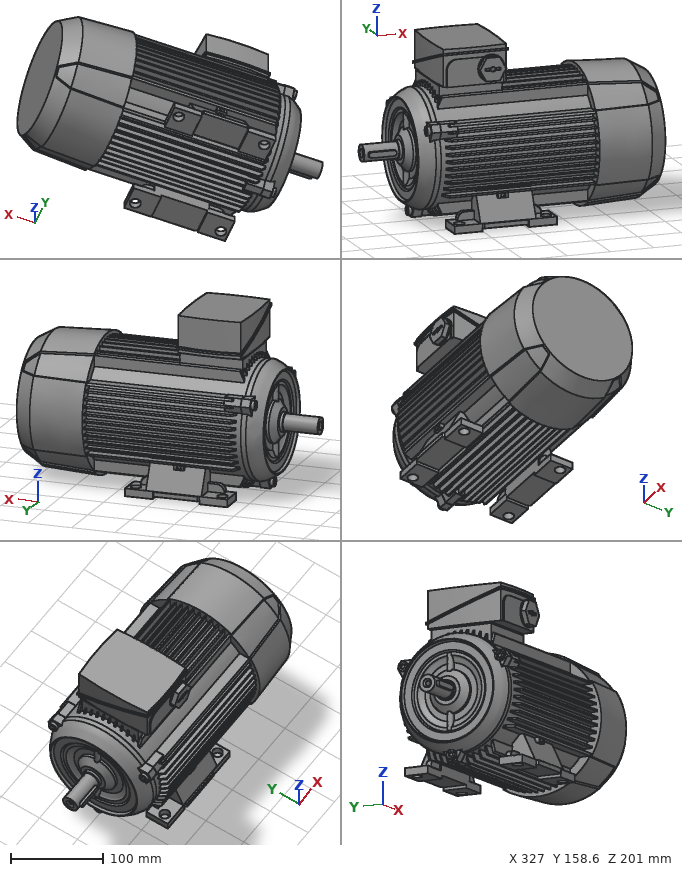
import cadquery as cq
import math

COLLAR_X = 40.0
SHIELD_X = 44.8
LUG_X = 56.5
HOUSING_X = 67.5
FIN_X = 73.2
HOOD_X = 246.0
END_X = 327.0

SHAFT_R = 9.5
COLLAR_R = 11.0
KEY_START = 4.3
KEY_LENGTH = 32.0
KEY_WIDTH = 6.2
KEY_TOP = 12.5
CENTRE_HOLE_R = 3.0
CENTRE_HOLE_DEPTH = 13.0
CENTRE_SINK_R = 5.0
CENTRE_SINK_DEPTH = 2.0

BODY_R = 67.0
HUB_FRONT_X = 43.5
SHIELD_RIM_R = 57.5
SHIELD_SHOULDER_X = 61.5
SHIELD_CROWN = (52.5, 63.0)
SHIELD_FLOOR_X = 54.0
SHIELD_RIB_WIDTH = 6.5
SHIELD_RIB_INNER_R = 22.2
SHIELD_RIB_OUTER_R = 43.2
SHIELD_RIB_X = 48.7
SHIELD_RIB_FILLET = 3.0

BOLT_CIRCLE_R = 69.0
BOLT_ANGLES = (30, 150, 270)
SHIELD_LUG_TIP_R = 76.0
HOUSING_LUG_TIP_R = 75.2
LUG_TIP_HALF_WIDTH = 4.5
LUG_HALF_ANGLE = 30
HOUSING_LUG_LENGTH = 19.5
SCREW_HEAD_R = 5.2
SCREW_HEAD_HEIGHT = 4.0
SCREW_SOCKET_SIZE = 5.2
SCREW_SOCKET_DEPTH = 2.5

FIN_R = 75.0
FIN_PITCH = 7.98
FIN_THICKNESS = 2.0
FINS_EACH_SIDE = 4
FIN_BEVEL_X = 77.8
FIN_START_R = 69.3
EDGE_FIN_OUTER = 41.2
EDGE_FIN_R = 77.2
EDGE_FIN_THICKNESS = 2.5

PEDESTAL_X = 76.2
PEDESTAL_LENGTH = 72.5
PEDESTAL_WIDTH = 74.0
PEDESTAL_TOP = 77.2
NECK_INSET = 1.0

HOOD_R = 79.3
HOOD_SHOULDER_X = 307.7
HOOD_SHOULDER_R = 76.2
HOOD_END_R = 65.0
HOOD_RECESS_DEPTH = 2.0
HOOD_RECESS_END_X = 325.0
HOOD_RECESS_EDGE = 42.0

BOX_X = 112.8
BOX_Y = -3.5
BOX_LENGTH = 72.5
BOX_WIDTH = 90.3
BOX_BULGE = 2.0
BOX_BOTTOM = 78.8
BOX_TOP = 121.0
LIP_OVERHANG = 1.5
LIP_THICKNESS = 2.0
LIP_SLOPE = math.degrees(math.atan2(9.7, 29.2))
LIP_Z = 100.0
BOX_PAD_LENGTH = 65.7
BOX_PAD_HEIGHT = 30.5
BOX_PAD_CORNER_R = 11.8
BOX_PAD_FACE_Y = -51.0

PLUG_X = 130.8
PLUG_Z = 96.0
PLUG_FLANGE_R = 15.0
PLUG_FLANGE_FACE_Y = -52.0
PLUG_HEX_SIZE = 26.5
PLUG_FACE_Y = -58.0
PLUG_SLOT_LENGTH = 17.5
PLUG_SLOT_WIDTH = 2.5
PLUG_SLOT_DEPTH = 2.0
PLUG_DIMPLE_R = 2.5

FOOT_X = 140.0
FOOT_BOTTOM = -80.0
FOOT_TOP = -71.3
BRIDGE_BOTTOM = -76.5
FOOT_LENGTH = 118.0
FOOT_INNER_Y = 44.0
PAD_OUTER_Y = 72.5
BRIDGE_OUTER_Y = 74.5
BRIDGE_LENGTH = 54.0
FOOT_HOLE_R = 6.0
FOOT_HOLE_SPACING = 100.0
FOOT_HOLE_Y = 62.5
WEB_X = 143.0
WEB_LENGTH = 64.0
WEB_TOP = -EDGE_FIN_OUTER
WEB_TOP_Y = 58.0
WEB_BASE_Y = 72.3
RIB_INNER_Y = 46.0
RIB_THICKNESS = 6.2
RIB_LENGTH = 96.5
RIB_HEIGHT = 9.5
RIB_CORNER_R = 8.5
EARTH_LUG_WIDTH = 11.0
EARTH_LUG_HEIGHT = 5.5
EARTH_LUG_Y = 64.5
EARTH_HOLE_R = 2.5
EARTH_HOLE_DEPTH = 3.3
FOOT_PAD_TOP = -37.3
FOOT_PAD_Y = 56.5


def block(x_range, y_range, z_range):
    """Axis-parallel block between two limits on each axis."""
    sizes = [high - low for low, high in (x_range, y_range, z_range)]
    corner = (x_range[0], y_range[0], z_range[0])
    return cq.Workplane("XY").box(*sizes, centered=False).translate(corner)


def turned(profile):
    """Solid of revolution about X from (x, radius) points."""
    return cq.Workplane("XY").polyline(profile).close().revolve(360, (0, 0), (1, 0))


def cylinder_x(x_start, x_end, radius):
    return cq.Workplane("YZ", origin=(x_start, 0, 0)).circle(radius).extrude(x_end - x_start)


def make_shaft():
    shaft = cylinder_x(0, COLLAR_X, SHAFT_R)
    shaft = shaft.union(cylinder_x(COLLAR_X, HOUSING_X, COLLAR_R))
    key = (
        cq.Workplane("XZ")
        .center(KEY_START + KEY_LENGTH / 2, 0)
        .slot2D(KEY_LENGTH, KEY_WIDTH)
        .extrude(KEY_TOP)
    )
    hole = cylinder_x(0, CENTRE_HOLE_DEPTH, CENTRE_HOLE_R)
    sink = turned([(0, 0), (0, CENTRE_SINK_R), (CENTRE_SINK_DEPTH, CENTRE_HOLE_R), (CENTRE_SINK_DEPTH, 0)])
    return shaft.union(key).cut(hole).cut(sink)


def lug(angle, tip_r, x_start, x_end):
    """Wedge with a flat tip around a screw, widening inwards into the round body."""
    slope = math.tan(math.radians(LUG_HALF_ANGLE))
    root_r = BODY_R * math.cos(math.radians(LUG_HALF_ANGLE))
    root_half_width = LUG_TIP_HALF_WIDTH + (tip_r - root_r) * slope
    outline = (
        cq.Workplane("YZ", origin=(x_start, 0, 0))
        .polyline([
            (root_r, -root_half_width),
            (tip_r, -LUG_TIP_HALF_WIDTH),
            (tip_r, LUG_TIP_HALF_WIDTH),
            (root_r, root_half_width),
        ])
        .close()
    )
    return outline.extrude(x_end - x_start).rotate((0, 0, 0), (1, 0, 0), angle)


def screw_head(angle):
    head_x = LUG_X - SCREW_HEAD_HEIGHT
    head = cq.Workplane("YZ", origin=(head_x, BOLT_CIRCLE_R, 0)).circle(SCREW_HEAD_R).extrude(SCREW_HEAD_HEIGHT)
    socket_diameter = SCREW_SOCKET_SIZE / math.cos(math.radians(30))
    socket = (
        cq.Workplane("YZ", origin=(head_x, BOLT_CIRCLE_R, 0))
        .polygon(6, socket_diameter)
        .extrude(SCREW_SOCKET_DEPTH)
    )
    return head.cut(socket).rotate((0, 0, 0), (1, 0, 0), angle)


def make_shield():
    recessed_face = [
        (HUB_FRONT_X, COLLAR_R),
        (HUB_FRONT_X, 16.0),
        (50.7, 24.5),
        (SHIELD_FLOOR_X, 24.5),
        (SHIELD_FLOOR_X, 32.5),
        (51.5, 38.0),
        (49.7, 40.0),
        (49.7, 43.8),
        (48.0, 45.8),
        (48.0, 55.0),
        (SHIELD_X, 56.5),
        (SHIELD_X, SHIELD_RIM_R),
    ]
    shield = (
        cq.Workplane("XY")
        .moveTo(HOUSING_X, COLLAR_R)
        .polyline(recessed_face, includeCurrent=True)
        .threePointArc(SHIELD_CROWN, (SHIELD_SHOULDER_X, BODY_R))
        .lineTo(HOUSING_X, BODY_R)
        .close()
        .revolve(360, (0, 0), (1, 0))
    )
    half_width = SHIELD_RIB_WIDTH / 2
    for side in (1, -1):
        ends = sorted((side * SHIELD_RIB_INNER_R, side * SHIELD_RIB_OUTER_R))
        rib = block((SHIELD_RIB_X, SHIELD_FLOOR_X), (-half_width, half_width), ends)
        rib = rib.edges("|Z and <X").fillet(SHIELD_RIB_FILLET)
        shield = shield.union(rib)
    hollow = cylinder_x(0, HOUSING_X, SHIELD_RIM_R)
    for angle in BOLT_ANGLES:
        shield = shield.union(lug(angle, SHIELD_LUG_TIP_R, LUG_X, HOUSING_X).cut(hollow))
        shield = shield.union(screw_head(angle))
    return shield


def fin_group(limits, tip_r):
    """Bars through the body in both directions, trimmed to a round envelope with a bevelled front."""
    length = (FIN_X, HOOD_X)
    across = (-tip_r, tip_r)
    bars = cylinder_x(FIN_X, HOOD_X, BODY_R)
    for limit in limits:
        bars = bars.union(block(length, limit, across)).union(block(length, across, limit))
    envelope = turned([
        (FIN_X, 0),
        (FIN_X, FIN_START_R),
        (FIN_BEVEL_X, tip_r),
        (HOOD_X, tip_r),
        (HOOD_X, 0),
    ])
    return bars.intersect(envelope)


def make_fins():
    """Evenly spaced fins on four sides, each side closed off by two thicker and taller edge fins."""
    half = FIN_THICKNESS / 2
    inner_limits = [(i * FIN_PITCH - half, i * FIN_PITCH + half) for i in range(-FINS_EACH_SIDE, FINS_EACH_SIDE + 1)]
    edge_inner = EDGE_FIN_OUTER - EDGE_FIN_THICKNESS
    edge_limits = [(edge_inner, EDGE_FIN_OUTER), (-EDGE_FIN_OUTER, -edge_inner)]
    return fin_group(inner_limits, FIN_R).union(fin_group(edge_limits, EDGE_FIN_R))


def make_housing():
    housing = cylinder_x(HOUSING_X, HOOD_X, BODY_R)
    for angle in BOLT_ANGLES:
        housing = housing.union(lug(angle, HOUSING_LUG_TIP_R, HOUSING_X, HOUSING_X + HOUSING_LUG_LENGTH))
    housing = housing.union(make_fins())
    pedestal_end = PEDESTAL_X + PEDESTAL_LENGTH
    half_width = PEDESTAL_WIDTH / 2
    neck_half = half_width - NECK_INSET
    pedestal = block((PEDESTAL_X, pedestal_end), (-half_width, half_width), (0, PEDESTAL_TOP))
    neck = block(
        (PEDESTAL_X + NECK_INSET, pedestal_end - NECK_INSET), (-neck_half, neck_half), (0, BOX_BOTTOM)
    )
    foot_pad = block(
        (WEB_X - WEB_LENGTH / 2, WEB_X + WEB_LENGTH / 2),
        (-FOOT_PAD_Y, FOOT_PAD_Y),
        (-EDGE_FIN_OUTER, FOOT_PAD_TOP),
    )
    return housing.union(pedestal).union(neck).union(foot_pad)


def hood_profile(offset, x_end):
    """Outline of the hood, moved inwards by an offset and ended at x_end."""
    taper = (HOOD_SHOULDER_R - HOOD_END_R) / (END_X - HOOD_SHOULDER_X)
    end_r = HOOD_END_R + (END_X - x_end) * taper
    return [
        (HOOD_X, 0),
        (HOOD_X, HOOD_R - offset),
        (HOOD_SHOULDER_X, HOOD_SHOULDER_R - offset),
        (x_end, end_r - offset),
        (x_end, 0),
    ]


def make_hood():
    """Conical hood whose four diagonal sectors are sunk slightly below the rest."""
    hood = turned(hood_profile(0, END_X))
    core = turned(hood_profile(HOOD_RECESS_DEPTH, HOOD_RECESS_END_X))
    for y_side in (1, -1):
        for z_side in (1, -1):
            corner = block(
                (HOOD_X, HOOD_RECESS_END_X),
                sorted((y_side * HOOD_RECESS_EDGE, y_side * HOOD_R)),
                sorted((z_side * HOOD_RECESS_EDGE, z_side * HOOD_R)),
            )
            hood = hood.cut(corner.cut(core))
    return hood


def box_outline(overhang, z_bottom, z_top):
    """Rectangular prism with four gently bulging walls."""
    x_half = BOX_LENGTH / 2 + overhang
    y_half = BOX_WIDTH / 2 + overhang
    return (
        cq.Workplane("XY", origin=(BOX_X, BOX_Y, z_bottom))
        .moveTo(-x_half, -y_half)
        .threePointArc((0, -y_half - BOX_BULGE), (x_half, -y_half))
        .threePointArc((x_half + BOX_BULGE, 0), (x_half, y_half))
        .threePointArc((0, y_half + BOX_BULGE), (-x_half, y_half))
        .threePointArc((-x_half - BOX_BULGE, 0), (-x_half, -y_half))
        .close()
        .extrude(z_top - z_bottom)
    )


def make_plug():
    flange = (
        cq.Workplane("XZ", origin=(PLUG_X, BOX_Y, PLUG_Z))
        .circle(PLUG_FLANGE_R)
        .extrude(BOX_Y - PLUG_FLANGE_FACE_Y)
    )
    hexagon = (
        cq.Workplane("XZ", origin=(PLUG_X, BOX_Y, PLUG_Z))
        .polygon(6, PLUG_HEX_SIZE / math.cos(math.radians(30)))
        .extrude(BOX_Y - PLUG_FACE_Y)
    )
    face = cq.Workplane("XZ", origin=(PLUG_X, PLUG_FACE_Y, PLUG_Z))
    slot = face.slot2D(PLUG_SLOT_LENGTH, PLUG_SLOT_WIDTH).extrude(-PLUG_SLOT_DEPTH)
    dimple = face.circle(PLUG_DIMPLE_R).extrude(-PLUG_SLOT_DEPTH)
    return flange.union(hexagon).cut(slot).cut(dimple)


def make_terminal_box():
    box = box_outline(0, BOX_BOTTOM, BOX_TOP)
    slab = (
        cq.Workplane("XY", origin=(BOX_X, BOX_Y, LIP_Z))
        .box(2 * BOX_LENGTH, 2 * BOX_WIDTH, LIP_THICKNESS)
        .rotate((0, BOX_Y, LIP_Z), (1, BOX_Y, LIP_Z), -LIP_SLOPE)
    )
    lip = box_outline(LIP_OVERHANG, BOX_BOTTOM, BOX_TOP).intersect(slab)
    pad = (
        cq.Workplane("XZ", origin=(BOX_X, BOX_Y, BOX_BOTTOM + BOX_PAD_HEIGHT / 2))
        .rect(BOX_PAD_LENGTH, BOX_PAD_HEIGHT)
        .extrude(BOX_Y - BOX_PAD_FACE_Y)
        .edges("|Y and >Z")
        .fillet(BOX_PAD_CORNER_R)
    )
    return box.union(lip).union(pad).union(make_plug())


def make_left_foot():
    """Foot on the -Y side: two drilled pads, a bridge, a sloping web, end ribs and an earthing lug."""
    end = FOOT_LENGTH / 2
    bridge = BRIDGE_LENGTH / 2
    foot = block(
        (FOOT_X - bridge, FOOT_X + bridge), (-BRIDGE_OUTER_Y, -FOOT_INNER_Y), (BRIDGE_BOTTOM, FOOT_TOP)
    )
    foot = foot.edges("|Z and <Y").chamfer(BRIDGE_OUTER_Y - PAD_OUTER_Y)
    for x_start, x_end in ((-end, -bridge), (bridge, end)):
        pad = block((FOOT_X + x_start, FOOT_X + x_end), (-PAD_OUTER_Y, -FOOT_INNER_Y), (FOOT_BOTTOM, FOOT_TOP))
        foot = foot.union(pad)
    web = (
        cq.Workplane("YZ", origin=(WEB_X - WEB_LENGTH / 2, 0, 0))
        .polyline([
            (-FOOT_INNER_Y, FOOT_TOP),
            (-WEB_BASE_Y, FOOT_TOP),
            (-WEB_TOP_Y, WEB_TOP),
            (-FOOT_INNER_Y, WEB_TOP),
        ])
        .close()
        .extrude(WEB_LENGTH)
    )
    rib = (
        cq.Workplane("XZ", origin=(FOOT_X, -RIB_INNER_Y, FOOT_TOP + RIB_HEIGHT / 2))
        .rect(RIB_LENGTH, RIB_HEIGHT)
        .extrude(RIB_THICKNESS)
        .edges("|Y and >Z")
        .fillet(RIB_CORNER_R)
    )
    earth_lug = block(
        (FOOT_X - EARTH_LUG_WIDTH / 2, FOOT_X + EARTH_LUG_WIDTH / 2),
        (-EARTH_LUG_Y, -FOOT_INNER_Y),
        (WEB_TOP - EARTH_LUG_HEIGHT, WEB_TOP),
    )
    earth_hole = (
        cq.Workplane("XZ", origin=(FOOT_X, -EARTH_LUG_Y, WEB_TOP - EARTH_LUG_HEIGHT / 2))
        .circle(EARTH_HOLE_R)
        .extrude(-EARTH_HOLE_DEPTH)
    )
    holes = (
        cq.Workplane("XY", origin=(FOOT_X, -FOOT_HOLE_Y, FOOT_BOTTOM))
        .pushPoints([(-FOOT_HOLE_SPACING / 2, 0), (FOOT_HOLE_SPACING / 2, 0)])
        .circle(FOOT_HOLE_R)
        .extrude(FOOT_TOP - FOOT_BOTTOM)
    )
    return foot.union(web).union(rib).union(earth_lug).cut(earth_hole).cut(holes)


housing = make_housing()
shield = make_shield()
hood = make_hood()
shaft = make_shaft()
terminal_box = make_terminal_box()
left_foot = make_left_foot().cut(housing)
feet = [left_foot, left_foot.mirror("XZ")]

result = cq.Compound.makeCompound([
    housing.val(),
    shield.val(),
    hood.val(),
    shaft.val(),
    terminal_box.val(),
    *[foot.val() for foot in feet],
])